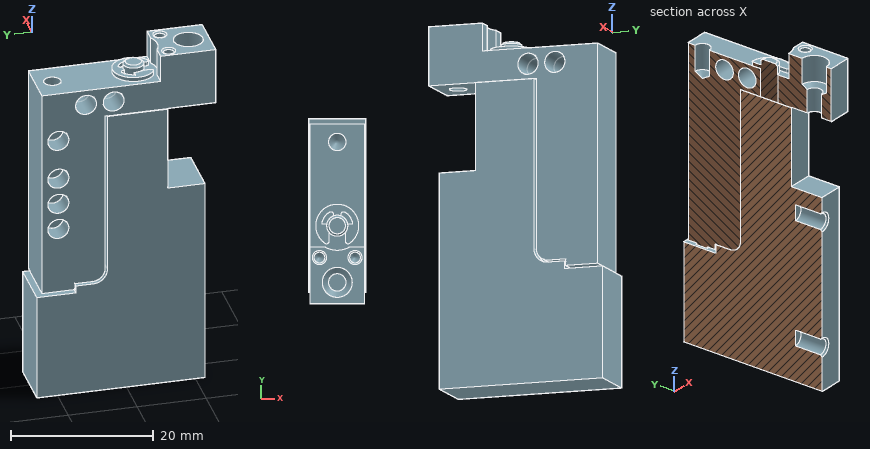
import cadquery as cq
import math


DRILL_POINT_ANGLE = 118.0

overall_height = 52.0
overall_depth = 26.0

housing_width = 8.0
housing_depth = 24.4
tower_depth = 19.0
tower_height = 43.5
shoulder_height = 30.95
ledge_height = 16.0
ledge_depth = 5.65
mount_hole_heights = (7.0, 27.0)
mount_hole_diameter = 2.45
mount_chamfer_diameter = 3.0
mount_hole_depth = 4.7
guide_width = 4.15

table_width = 7.7
table_rear = 0.8
table_top = 48.0
column_front = 9.95
column_bottom = 17.4
column_corner_radius = 1.75
guide_gap = 0.3
foot_front = 5.55
foot_bottom = 16.5
stop_diameter = 2.0
stop_length = 0.25
head_rear = 18.0
side_hole_diameter = 3.0
side_hole_column = 3.15
side_hole_pitch = 4.0
blind_hole_heights = (26.45, 30.45, 34.5, 40.5)
blind_hole_depth = 3.1
through_hole_height = 45.7
top_hole_diameter = 2.45
top_hole_position = 3.3
top_hole_depth = 4.15
head_hole_position = 23.0
head_bore_diameter = 4.2
head_bore_depth = 4.15
head_pilot_diameter = 2.45
tap_diameter = 1.5
tap_chamfer_diameter = 2.0
tap_depth = 3.1
tap_position = 19.5
tap_spacing = 5.0
ring_relief_diameter = 6.9

rod_position = 15.05
rod_diameter = 2.95
rod_tip_diameter = 2.3
rod_tip_height = 0.3
rod_top = 49.6
ring_diameter = 6.05
ring_thickness = 0.6
ring_slot_diameter = 4.35
ring_mouth_width = 2.3
ring_tongue_width = 1.05
ring_slot_offset = 0.25
ring_corner_radius = 0.35


def side_prism(outline, width):
    """Extrude a closed outline of (distance from rear, height) points evenly about X = 0."""
    points = [(-distance, height) for distance, height in outline]
    return cq.Workplane("YZ").polyline(points).close().extrude(width / 2, both=True)


def side_block(rear, front, bottom, top, width):
    """Box between two distances from the rear face and two heights, centred on X = 0."""
    outline = [(rear, bottom), (front, bottom), (front, top), (rear, top)]
    return side_prism(outline, width)


def column_block(clearance, width):
    """Table column enlarged by a clearance, with its lower front corner rounded."""
    block = side_block(
        0, column_front + clearance, column_bottom - clearance, tower_height, width
    )
    return block.edges("|X and <Y and <Z").fillet(column_corner_radius + clearance)


def vertical_cylinder(distance, bottom, top, diameter):
    """Upright cylinder on X = 0 between two heights."""
    plane = cq.Workplane("XY", origin=(0, -distance, bottom))
    return plane.circle(diameter / 2).extrude(top - bottom)


def drill(start, diameter, depth, chamfer_diameter=0.0):
    """Blind hole drilled downwards with a conical point and, if given, a 45-degree entry chamfer."""
    radius = diameter / 2
    point_length = radius / math.tan(math.radians(DRILL_POINT_ANGLE / 2))
    entry_radius = max(radius, chamfer_diameter / 2)
    profile = cq.Workplane("XZ").moveTo(0, 0).lineTo(entry_radius, 0)
    if entry_radius > radius:
        profile = profile.lineTo(radius, radius - entry_radius)
    profile = profile.lineTo(radius, -depth).lineTo(0, -depth - point_length).close()
    return profile.revolve(360, (0, 0, 0), (0, 1, 0)).translate(start)


def flat_mount_hole(height):
    """Flat-bottomed hole in the housing's front face with a chamfered entry."""
    chamfer = (mount_chamfer_diameter - mount_hole_diameter) / 2
    plane = cq.Workplane("XZ", origin=(0, -housing_depth, height))
    hole = plane.circle(mount_hole_diameter / 2).extrude(-mount_hole_depth)
    entry = plane.circle(mount_chamfer_diameter / 2).extrude(-chamfer, taper=45)
    return hole.union(entry)


def make_housing():
    housing = side_prism(
        [
            (0, 0),
            (housing_depth, 0),
            (housing_depth, shoulder_height),
            (tower_depth, shoulder_height),
            (tower_depth, tower_height),
            (0, tower_height),
        ],
        housing_width,
    )
    housing = housing.cut(column_block(guide_gap, housing_width))
    housing = housing.cut(side_block(0, ledge_depth, ledge_height, tower_height, housing_width))

    pad = column_block(guide_gap, guide_width).cut(column_block(0, guide_width))
    pad = pad.cut(side_block(0, ledge_depth, ledge_height, tower_height, guide_width))
    housing = housing.union(pad)

    for height in mount_hole_heights:
        housing = housing.cut(flat_mount_hole(height))
    return housing


def make_table():
    column = column_block(0, table_width)
    foot = side_block(0, foot_front, foot_bottom, tower_height, table_width)
    arm = side_block(0, overall_depth, tower_height, table_top, table_width)
    head = side_block(head_rear, overall_depth, table_top, overall_height, table_width)
    rear_trim = side_block(0, table_rear, 0, overall_height, table_width)
    table = column.union(foot).union(arm).union(head).cut(rear_trim)

    stop_bottom = foot_bottom - stop_length
    table = table.union(
        vertical_cylinder(side_hole_column, stop_bottom, foot_bottom, stop_diameter)
    )

    table = table.cut(
        vertical_cylinder(rod_position, table_top, overall_height, ring_relief_diameter)
    )
    table = table.cut(vertical_cylinder(rod_position, tower_height, table_top, rod_diameter))

    for index in (1, 2):
        distance = side_hole_column + index * side_hole_pitch
        plane = cq.Workplane("YZ", origin=(0, -distance, through_hole_height))
        table = table.cut(plane.circle(side_hole_diameter / 2).extrude(table_width, both=True))
    for height in blind_hole_heights:
        plane = cq.Workplane("YZ", origin=(-table_width / 2, -side_hole_column, height))
        table = table.cut(plane.circle(side_hole_diameter / 2).extrude(blind_hole_depth))

    top_start = (0, -top_hole_position, table_top)
    table = table.cut(drill(top_start, top_hole_diameter, top_hole_depth))
    for side in (-1, 1):
        start = (side * tap_spacing / 2, -tap_position, overall_height)
        table = table.cut(drill(start, tap_diameter, tap_depth, tap_chamfer_diameter))
    head_start = (0, -head_hole_position, overall_height)
    table = table.cut(drill(head_start, head_bore_diameter, head_bore_depth))
    return table.cut(
        vertical_cylinder(head_hole_position, tower_height, overall_height, head_pilot_diameter)
    )


def make_retaining_ring():
    """E-shaped ring lying on the arm, with its mouth to the front and two slots at the rear."""
    center = cq.Workplane("XY", origin=(0, -rod_position, table_top))
    radius = ring_diameter / 2
    ring = center.circle(radius).extrude(ring_thickness)

    mouth = center.center(0, -radius / 2).rect(ring_mouth_width, radius).extrude(ring_thickness)
    ring = ring.cut(mouth)
    ring = ring.edges("|Z and <Y").fillet(ring_corner_radius)

    slot_disc = center.circle(ring_slot_diameter / 2).extrude(ring_thickness)
    for side in (-1, 1):
        corner = center.center(
            side * (ring_tongue_width + ring_diameter) / 2, ring_slot_offset + radius
        )
        slot = slot_disc.intersect(
            corner.rect(ring_diameter, ring_diameter).extrude(ring_thickness)
        )
        slot = slot.edges("|Z and >Y").fillet(ring_corner_radius)
        ring = ring.cut(slot)
    return ring


def make_piston_rod():
    """Rod through the arm, with a chamfered tip, carrying the retaining ring."""
    rod = vertical_cylinder(rod_position, tower_height, rod_top, rod_diameter)
    tip_inset = (rod_diameter - rod_tip_diameter) / 2
    rod = rod.faces(">Z").chamfer(rod_tip_height, tip_inset)
    return rod.union(make_retaining_ring())


housing = make_housing()
table = make_table()
piston_rod = make_piston_rod()

result = cq.Compound.makeCompound([housing.val(), table.val(), piston_rod.val()])